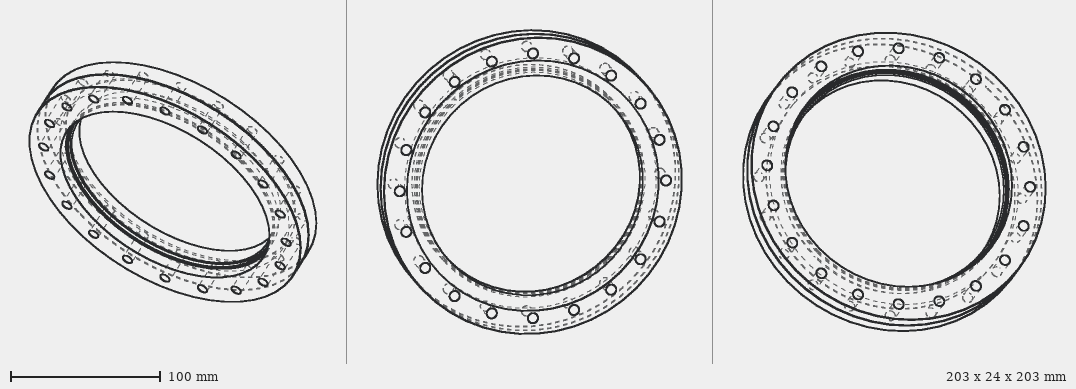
import cadquery as cq
import math


flange_diameter = 203.0
flange_thickness = 24.0
front_y = -flange_thickness / 2
back_y = flange_thickness / 2

ring_bore_diameter = 156.0
rim_chamfer = 0.5
bore_mouth_chamfer = 0.2
groove_half_width = 0.5
groove_depth = 0.5

bolt_hole_count = 20
bolt_hole_diameter = 6.7
bolt_circle_diameter = 181.0
bolt_hole_chamfer = 0.2

hub_bore_diameter = 150.2
tube_socket_diameter = 152.9
socket_chamfer = 0.5
hub_front_setback = 8.0
socket_depth = 3.0
hub_lip_diameter = 171.3
hub_lip_thickness = 8.5
gasket_recess_depth = 1.5

hub_front_y = front_y + hub_front_setback
socket_floor_y = hub_front_y + socket_depth
hub_back_y = back_y - gasket_recess_depth
lip_seat_y = hub_back_y - hub_lip_thickness


def turned(profile):
    """Revolve a closed (radius, y) profile about the Y axis."""
    return cq.Workplane("XY").polyline(profile).close().revolve(360, (0, 0, 0), (0, 1, 0))


def ring_blank():
    """Ring with chamfered rims, a V-groove around the middle and a seat for the hub lip."""
    outer = flange_diameter / 2
    bore = ring_bore_diameter / 2
    seat = hub_lip_diameter / 2
    return turned([
        (bore, front_y + bore_mouth_chamfer),
        (bore + bore_mouth_chamfer, front_y),
        (outer - rim_chamfer, front_y),
        (outer, front_y + rim_chamfer),
        (outer, -groove_half_width),
        (outer - groove_depth, 0),
        (outer, groove_half_width),
        (outer, back_y - rim_chamfer),
        (outer - rim_chamfer, back_y),
        (seat, back_y),
        (seat, lip_seat_y),
        (bore, lip_seat_y),
    ])


def bolt_hole_cutter():
    """Cutter for one through hole along Y, widened by a small chamfer at both ends."""
    hole = bolt_hole_diameter / 2
    mouth = hole + bolt_hole_chamfer
    return turned([
        (0, front_y),
        (mouth, front_y),
        (hole, front_y + bolt_hole_chamfer),
        (hole, back_y - bolt_hole_chamfer),
        (mouth, back_y),
        (0, back_y),
    ])


def make_ring():
    """Bolt ring with its circle of bolt holes."""
    ring = ring_blank()
    cutter = bolt_hole_cutter()
    for index in range(bolt_hole_count):
        angle = 2 * math.pi * index / bolt_hole_count
        x = bolt_circle_diameter / 2 * math.cos(angle)
        z = bolt_circle_diameter / 2 * math.sin(angle)
        ring = ring.cut(cutter.translate((x, 0, z)))
    return ring


def make_hub():
    """Hub with a stub in the ring bore, a lip on the ring seat and a tube socket at the front.

    The lip stops short of the back of the ring, which leaves the gasket recess.
    """
    bore = hub_bore_diameter / 2
    socket = tube_socket_diameter / 2
    stub = ring_bore_diameter / 2
    lip = hub_lip_diameter / 2
    return turned([
        (socket, hub_front_y + socket_chamfer),
        (socket + socket_chamfer, hub_front_y),
        (stub, hub_front_y),
        (stub, lip_seat_y),
        (lip, lip_seat_y),
        (lip, hub_back_y),
        (bore, hub_back_y),
        (bore, socket_floor_y),
        (socket, socket_floor_y),
    ])


ring = make_ring()
hub = make_hub()

result = cq.Compound.makeCompound([ring.solids().val(), hub.val()])